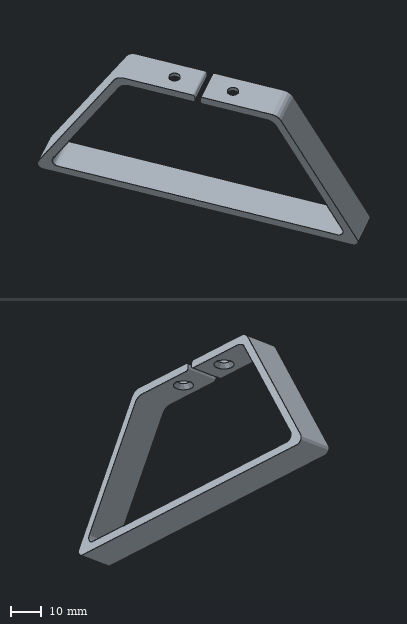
import cadquery as cq
import math

length = 109.8
width = 12.0
height = 50.0
wall = 3.0
side_angle = math.radians(60)
lower_radius = 2.0
upper_radius = 4.0
gap = 1.6
tip_radius = 1.0
hole_diameter = 3.5
hole_spacing = 20.0
countersink_diameter = 6.5

corner_overhang = lower_radius * (1 / math.tan(side_angle / 2) - 1)
outer_half_base = length / 2 + corner_overhang
wall_inset = wall / math.tan(side_angle / 2)
inner_half_base = outer_half_base - wall_inset


def trapezoid(half_base, bottom, top):
    """Symmetric prism with sloping sides and rounded long edges."""
    half_top = half_base - (top - bottom) / math.tan(side_angle)
    body = (
        cq.Workplane("XZ")
        .polyline([(-half_base, bottom), (half_base, bottom), (half_top, top), (-half_top, top)])
        .close()
        .extrude(width / 2, both=True)
    )
    body = body.faces("<Z").edges("|Y").fillet(lower_radius)
    return body.faces(">Z").edges("|Y").fillet(upper_radius)


band = trapezoid(outer_half_base, 0, height)
band = band.cut(trapezoid(inner_half_base, wall, height - wall))

top_bar_z = height - wall / 2
split = cq.Workplane("XY").box(gap, width, 2 * wall).translate((0, 0, top_bar_z))
band = band.cut(split)
tip_zone = cq.selectors.BoxSelector((-gap, -width, height - 2 * wall), (gap, width, height + wall))
band = band.edges("|Y").edges(tip_zone).fillet(tip_radius)

hole_radius = hole_diameter / 2
countersink_radius = countersink_diameter / 2
countersink_depth = countersink_radius - hole_radius
bar_underside = height - wall
for hole_x in (-hole_spacing / 2, hole_spacing / 2):
    center = cq.Vector(hole_x, 0, bar_underside)
    shank = cq.Solid.makeCylinder(hole_radius, wall, center)
    countersink = cq.Solid.makeCone(countersink_radius, hole_radius, countersink_depth, center)
    band = band.cut(cq.Workplane(shank)).cut(cq.Workplane(countersink))

result = band